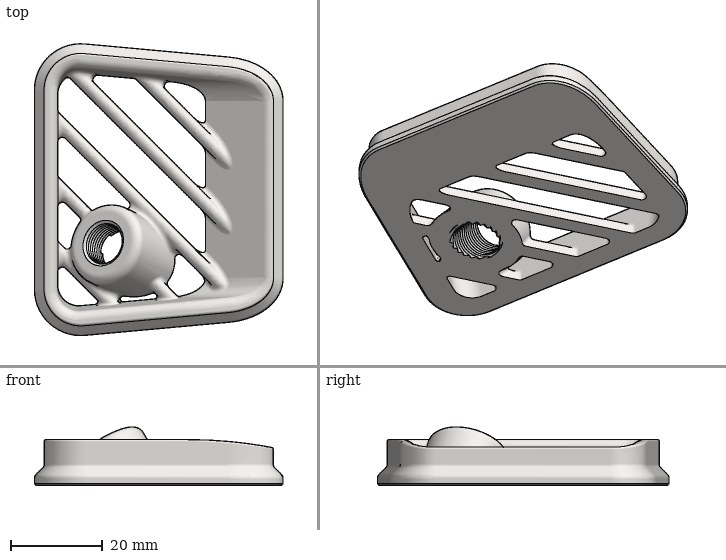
import cadquery as cq
import math

RIM_HALF_LENGTH = 25.0
LEFT_CORNER_RADIUS = 8.0
LEFT_CORNER_Y = 21.695
SIDE_ANGLE = math.radians(5.2)
RIGHT_CORNER_LENGTH = 9.9
RIGHT_CORNER_Y = 19.25
CORNER_FULLNESS = 0.58

RIM_HEIGHT = 10.0
TOP_BEND_X = 6.14
TOP_BEND_RADIUS = 100.0
OUTER_TOP_FILLET = 0.5
INNER_TOP_FILLET = 2.0

FLANGE_WIDTH = 2.13
FLANGE_EDGE_HEIGHT = 2.0
FLANGE_BOTTOM_CHAMFER = 0.4
FLANGE_EDGE_FILLET = 1.3
FLANGE_ROOT_FILLET = 0.95
FLANGE_OVERLAP = 1.0

WALL = 3.0
CAVITY_FLOOR_RIGHT_X = 10.15
CAVITY_LEAN = 1.6
CAVITY_CORNER_LENGTH = 7.05
CAVITY_LEFT_CORNER_RADIUS = 4.5
CAVITY_OVERSHOOT = 1.0

BAR_COUNT = 5
BAR_PITCH = 10.0
FIRST_BAR_OFFSET = -25.0
BAR_RADIUS = 1.5
BAR_SIDE_HEIGHT = 2.1
BAR_ANGLE = -45.0
BAR_LENGTH = 120.0
BAR_EMBED = 1.5
JUNCTION_FILLET = 1.0
CROWDED_JUNCTION_FILLET = 0.6

BOSS_RADIUS = 9.0
BOSS_TOP_FILLET = 2.0
BOSS_TOP_CENTER = cq.Vector(-12.1, -11.65, 8.56)
BOSS_TILT = math.radians(33.5)
BOSS_HEADING = math.radians(155.0)
BOSS_LENGTH = 30.0
THREAD_MAJOR_RADIUS = 5.1
THREAD_MINOR_RADIUS = 4.5
THREAD_PITCH = 0.9
THREAD_COUNT = 20

TOLERANCE = 1e-3


def outline(left_x, left_y, left_radius, side_y, right_x, right_y, corner_length):
    """Closed outline; side_y is the height of the sloping side at a given x."""
    left_end_x = left_x + left_radius * (1 + math.sin(SIDE_ANGLE))
    arc_mid_angle = (math.pi + math.pi / 2 - SIDE_ANGLE) / 2
    arc_mid_x = left_x + left_radius * (1 + math.cos(arc_mid_angle))
    arc_mid_y = left_y + left_radius * math.sin(arc_mid_angle)
    corner_x = right_x - corner_length
    corner_y = side_y(corner_x)
    apex_y = side_y(right_x)
    handle_x = corner_x + CORNER_FULLNESS * corner_length
    handle_y = right_y + CORNER_FULLNESS * (apex_y - right_y)
    corner = [
        (corner_x, corner_y),
        (handle_x, side_y(handle_x)),
        (right_x, handle_y),
        (right_x, right_y),
    ]
    mirrored = [(x, -y) for x, y in reversed(corner)]
    return (
        cq.Workplane("XY")
        .moveTo(left_x, -left_y)
        .lineTo(left_x, left_y)
        .threePointArc((arc_mid_x, arc_mid_y), (left_end_x, side_y(left_end_x)))
        .lineTo(*corner[0])
        .bezier(corner[1:], includeCurrent=True)
        .lineTo(*mirrored[0])
        .bezier(mirrored[1:], includeCurrent=True)
        .lineTo(left_end_x, -side_y(left_end_x))
        .threePointArc((arc_mid_x, -arc_mid_y), (left_x, -left_y))
        .close()
    )


def side_line(left_x, left_y, left_radius):
    """Sloping side line tangent to the left corner arc, as y of x."""
    center_x = left_x + left_radius

    def y_at(x):
        return left_y + left_radius / math.cos(SIDE_ANGLE) - (x - center_x) * math.tan(SIDE_ANGLE)

    return y_at


def rim_outline():
    left = (-RIM_HALF_LENGTH, LEFT_CORNER_Y, LEFT_CORNER_RADIUS)
    return outline(*left, side_line(*left), RIM_HALF_LENGTH, RIGHT_CORNER_Y, RIGHT_CORNER_LENGTH)


def flange_profile():
    """Cross-section of the flange ring, overlapping the rim wall by FLANGE_OVERLAP."""
    tangent = math.tan(math.pi / 8)
    edge_setback = FLANGE_EDGE_FILLET * tangent
    root_setback = FLANGE_ROOT_FILLET * tangent
    root_height = FLANGE_EDGE_HEIGHT + FLANGE_WIDTH
    cos45 = math.cos(math.pi / 4)

    def at(outward, height):
        return (-RIM_HALF_LENGTH - outward, height)

    slope_start = at(FLANGE_WIDTH - edge_setback * cos45, FLANGE_EDGE_HEIGHT + edge_setback * cos45)
    slope_end = at(root_setback * cos45, root_height - root_setback * cos45)
    start_y = -LEFT_CORNER_Y
    return (
        cq.Workplane("XZ", origin=(0, start_y, 0))
        .moveTo(*at(-FLANGE_OVERLAP, 0))
        .lineTo(*at(FLANGE_WIDTH - FLANGE_BOTTOM_CHAMFER, 0))
        .lineTo(*at(FLANGE_WIDTH, FLANGE_BOTTOM_CHAMFER))
        .lineTo(*at(FLANGE_WIDTH, FLANGE_EDGE_HEIGHT - edge_setback))
        .tangentArcPoint(slope_start, relative=False)
        .lineTo(*slope_end)
        .tangentArcPoint(at(0, root_height + root_setback), relative=False)
        .lineTo(*at(-FLANGE_OVERLAP, root_height + root_setback))
        .close()
    )


def top_cutter():
    """Material removed above the flat, then drooping, top of the rim."""
    far_x = RIM_HALF_LENGTH + FLANGE_WIDTH
    span_y = 4 * RIM_HALF_LENGTH

    def droop(x):
        run = x - TOP_BEND_X
        return RIM_HEIGHT - TOP_BEND_RADIUS + math.sqrt(TOP_BEND_RADIUS**2 - run**2)

    mid_x = (TOP_BEND_X + far_x) / 2
    return (
        cq.Workplane("XZ")
        .moveTo(TOP_BEND_X, RIM_HEIGHT)
        .threePointArc((mid_x, droop(mid_x)), (far_x, droop(far_x)))
        .lineTo(far_x, RIM_HEIGHT)
        .close()
        .extrude(span_y / 2, both=True)
    )


def make_outer_body():
    rim = rim_outline().extrude(RIM_HEIGHT).cut(top_cutter())
    top_edges = select_edges(rim, lambda edge: is_on_top(edge) and not is_bend_seam(edge))
    rim = rim.newObject(top_edges).fillet(OUTER_TOP_FILLET)
    flange = flange_profile().sweep(rim_outline(), transition="right")
    return rim.union(flange)


def select_edges(part, condition):
    return [edge for edge in part.edges().vals() if condition(edge)]


def is_on_top(edge):
    return edge.BoundingBox().zmin > RIM_HEIGHT / 2


def is_off_floor(edge):
    return edge.BoundingBox().zmax > TOLERANCE


def is_bend_seam(edge):
    """True for the line across the rim where its top starts to droop."""
    box = edge.BoundingBox()
    return box.xlen < TOLERANCE and abs(box.center.x - TOP_BEND_X) < TOLERANCE


def lies_on(edge, skin):
    points = [edge.positionAt(fraction) for fraction in (0.25, 0.5, 0.75)]
    return all(skin.distance(cq.Vertex.makeVertex(*point.toTuple())) < TOLERANCE for point in points)


def skin_of(part):
    """The boundary faces of a part, without its inside."""
    return cq.Compound.makeCompound(part.faces().vals())


def make_cavity():
    inner_left_x = WALL - RIM_HALF_LENGTH
    rim_side = side_line(inner_left_x, LEFT_CORNER_Y, LEFT_CORNER_RADIUS - WALL)
    height = RIM_HEIGHT + 2 * CAVITY_OVERSHOOT
    low_shift = -CAVITY_LEAN * CAVITY_OVERSHOOT

    def side(x):
        """Side line of the lowest section; it meets the rim's inner side at the top."""
        return rim_side(x + CAVITY_LEAN * RIM_HEIGHT - low_shift)

    radius = CAVITY_LEFT_CORNER_RADIUS
    far_left_x = inner_left_x - CAVITY_LEAN * height - 2 * radius
    far_left_y = side(far_left_x + radius) - radius / math.cos(SIDE_ANGLE)
    right_x = CAVITY_FLOOR_RIGHT_X + low_shift
    plan = outline(
        far_left_x, far_left_y, radius, side, right_x, RIGHT_CORNER_Y, CAVITY_CORNER_LENGTH
    )
    section = plan.wires().val().translate(cq.Vector(0, 0, -CAVITY_OVERSHOOT))
    slide = cq.Vector(CAVITY_LEAN * height, 0, height)
    sloped = cq.Workplane(cq.Solid.extrudeLinear(section, [], slide))

    size = 4 * RIM_HALF_LENGTH
    right_of_left_wall = cq.Workplane("XY").box(size, size, size).translate((inner_left_x + size / 2, 0, 0))
    cavity = sloped.intersect(right_of_left_wall)
    upright = [edge for edge in cavity.faces("<X").edges().vals() if edge.BoundingBox().zlen > RIM_HEIGHT]
    return cavity.newObject(upright).fillet(radius)


def make_bar(offset):
    return (
        cq.Workplane("YZ")
        .moveTo(offset - BAR_RADIUS, 0)
        .lineTo(offset - BAR_RADIUS, BAR_SIDE_HEIGHT)
        .threePointArc((offset, BAR_SIDE_HEIGHT + BAR_RADIUS), (offset + BAR_RADIUS, BAR_SIDE_HEIGHT))
        .lineTo(offset + BAR_RADIUS, 0)
        .close()
        .extrude(BAR_LENGTH / 2, both=True)
        .rotate((0, 0, 0), (0, 0, 1), BAR_ANGLE)
    )


def make_bars():
    """Parallel bars whose ends stop inside the rim wall."""
    bars = cq.Workplane("XY")
    for index in range(BAR_COUNT):
        bars = bars.union(make_bar(FIRST_BAR_OFFSET + BAR_PITCH * index))
    reach = rim_outline().offset2D(-BAR_EMBED).extrude(RIM_HEIGHT / 2)
    return cq.Workplane(bars.intersect(reach).val().toNURBS())


def boss_plane():
    """Plane of the boss's top face, with its normal along the boss axis."""
    axis = cq.Vector(
        math.sin(BOSS_TILT) * math.cos(BOSS_HEADING),
        math.sin(BOSS_TILT) * math.sin(BOSS_HEADING),
        math.cos(BOSS_TILT),
    )
    return cq.Plane(origin=BOSS_TOP_CENTER, normal=axis)


def make_boss():
    """Round-topped boss, cut level with the foot of the rim."""
    boss = cq.Workplane(boss_plane()).circle(BOSS_RADIUS).extrude(-BOSS_LENGTH)
    boss = boss.edges(">Z").fillet(BOSS_TOP_FILLET)
    size = 4 * RIM_HALF_LENGTH
    above_floor = cq.Workplane("XY").box(size, size, size, centered=(True, True, False))
    return boss.intersect(above_floor)


def make_threaded_bore():
    """Bore through the boss, with the thread as a row of ring grooves."""
    plane = boss_plane()
    profile_plane = cq.Plane(origin=plane.origin, xDir=plane.xDir, normal=-plane.yDir)
    profile = cq.Workplane(profile_plane).moveTo(0, THREAD_PITCH).lineTo(THREAD_MAJOR_RADIUS, THREAD_PITCH)
    profile = profile.lineTo(THREAD_MAJOR_RADIUS, 0)
    for turn in range(THREAD_COUNT):
        profile = profile.lineTo(THREAD_MINOR_RADIUS, -THREAD_PITCH * (turn + 0.5))
        profile = profile.lineTo(THREAD_MAJOR_RADIUS, -THREAD_PITCH * (turn + 1))
    profile = profile.lineTo(0, -THREAD_PITCH * THREAD_COUNT).close()
    return profile.revolve(360, (0, 0, 0), (0, 1, 0))


cavity = make_cavity()
bars = make_bars()
boss = make_boss()
cavity_skin = skin_of(cavity)
bar_skin = skin_of(bars)
boss_skin = skin_of(boss)

frame = make_outer_body().cut(cavity)
inner_top_edges = select_edges(frame, lambda edge: is_on_top(edge) and lies_on(edge, cavity_skin))
frame = frame.newObject(inner_top_edges).fillet(INNER_TOP_FILLET)

body = frame.union(bars).union(boss)
bar_edges = select_edges(body, lambda edge: is_off_floor(edge) and lies_on(edge, bar_skin))
boss_joints = [edge for edge in bar_edges if lies_on(edge, boss_skin)]
body = body.newObject(boss_joints).fillet(JUNCTION_FILLET)

bar_edges = select_edges(body, lambda edge: is_off_floor(edge) and lies_on(edge, bar_skin))
wall_joints = [edge for edge in bar_edges if lies_on(edge, cavity_skin)]
near_boss = [edge for edge in wall_joints if edge.Center().y < -LEFT_CORNER_Y]
clear_of_boss = [edge for edge in wall_joints if edge.Center().y >= -LEFT_CORNER_Y]
body = body.newObject(clear_of_boss).fillet(JUNCTION_FILLET)
body = body.newObject(near_boss).fillet(CROWDED_JUNCTION_FILLET)

result = body.cut(make_threaded_bore())